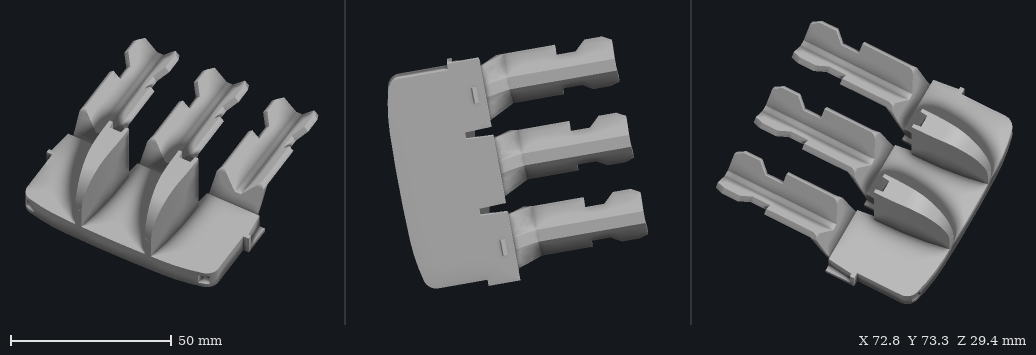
import cadquery as cq
import math


base_height = 6.4
base_half_width = 34.4
flange_half_width = 72.8 / 2
flange_front_y = 21.85
base_back_y = 31.9
bow_middle_half_width = 17.4
bow_middle_rise = 0.3
bow_end = (31.2, 2.3)
corner_end_y = 6.15

pitch = 25.0
prong_centers = [-pitch, 0, pitch]
wall_centers = [-pitch / 2, pitch / 2]
gap_centers = [-1.5 * pitch, *wall_centers, 1.5 * pitch]
gap_front_y = 23.3
gap_front_half_width = 2.05
gap_back_half_width = 3.1
slot_front_half_width = 1.1
slot_back_half_width = 1.5
lip_height = 1.5

wall_top = 28.7
wall_back_y = 25.8
wall_half_width = 3.5
wall_front_half_width = 1.1
wall_round = 15.2

prong_tip_y = 73.3
prong_root_y = 39.3
sheet = 2.05
floor_top = 8.95
floor_half_width = 1.1
leg_end_x = 6.7
notch_depth = 3.7
notch_front_y = 55.5
notch_back_y = 61.6
notch_ramp_y = 64.8
tip_chamfer_along_leg = 1.75
tip_chamfer_along_y = 2.85

leg_offset = sheet / math.sqrt(2)
floor_bottom = floor_top - sheet
under_half_width = floor_half_width + sheet * math.tan(math.radians(22.5))
leg_end_z = floor_top + leg_end_x - floor_half_width
prong_half_width = leg_end_x + leg_offset
leg_side_z = leg_end_z - leg_offset

neck_half_width = 9.45
neck_bottom = 2.3
neck_top = 4.4
neck_crest_y = 39.1
neck_crest_radius = 2.4
neck_slope_angle = math.radians(63)
neck_slope_end_y = 33.5

neck_slope_start_y = neck_crest_y - neck_crest_radius * math.sin(neck_slope_angle)
neck_slope_start_z = leg_end_z - neck_crest_radius * (1 - math.cos(neck_slope_angle))
neck_slope_end_z = neck_slope_start_z - (neck_slope_start_y - neck_slope_end_y) * math.tan(neck_slope_angle)

pocket_bottom = 1.5
pocket_top = 4.9
pocket_outer_x = 32.9
pocket_inner_front_x = 29.3
pocket_inner_back_x = 30.2
pocket_back_y = 5.1

ridge_width = 5.05
ridge_depth = 0.65
ridge_front_y = 27.8
ridge_apex_y = 28.2
ridge_back_y = 29.6


def base_blank(height):
    """Base plan, bowed at the front and flanged at the sides, raised to a height."""
    bow_radius = (bow_middle_half_width**2 + bow_middle_rise**2) / (2 * bow_middle_rise)
    half = (
        cq.Workplane("XY")
        .radiusArc((bow_middle_half_width, bow_middle_rise), -bow_radius)
        .tangentArcPoint(bow_end, relative=False)
        .tangentArcPoint((base_half_width, corner_end_y), relative=False)
        .lineTo(base_half_width, flange_front_y)
        .lineTo(flange_half_width, flange_front_y)
        .lineTo(flange_half_width, base_back_y)
        .lineTo(0, base_back_y)
        .close()
        .extrude(height)
    )
    return half.union(half.mirror("YZ"))


def gap_cutter(center_x, front_half_width, back_half_width, bottom):
    """Tapered gap open at the back of the base, cut upward from a level."""
    return (
        cq.Workplane("XY", origin=(center_x, 0, bottom))
        .moveTo(-front_half_width, gap_front_y)
        .lineTo(front_half_width, gap_front_y)
        .lineTo(back_half_width, base_back_y)
        .lineTo(-back_half_width, base_back_y)
        .close()
        .extrude(wall_top)
    )


def divider_wall(center_x):
    """Upright wall, narrowing in plan toward the front and rounded at the top front."""
    taper = wall_half_width - wall_front_half_width
    taper_radius = (gap_front_y**2 + taper**2) / (2 * taper)
    plan = (
        cq.Workplane("XY", origin=(center_x, 0, 0))
        .moveTo(-wall_front_half_width, 0)
        .lineTo(wall_front_half_width, 0)
        .radiusArc((wall_half_width, gap_front_y), -taper_radius)
        .lineTo(wall_half_width, wall_back_y)
        .lineTo(-wall_half_width, wall_back_y)
        .lineTo(-wall_half_width, gap_front_y)
        .radiusArc((-wall_front_half_width, 0), -taper_radius)
        .close()
        .extrude(wall_top)
    )
    outer_front_x = abs(center_x) + wall_front_half_width
    front_y = bow_middle_rise * (outer_front_x / bow_middle_half_width) ** 2
    side = (
        cq.Workplane("YZ", origin=(center_x - pitch / 2, 0, 0))
        .lineTo(wall_back_y, 0)
        .lineTo(wall_back_y, wall_top)
        .lineTo(front_y + wall_round, wall_top)
        .radiusArc((front_y, wall_top - wall_round), -wall_round)
        .lineTo(0, wall_top - wall_round)
        .close()
        .extrude(pitch)
    )
    return plan.intersect(side).intersect(base_blank(wall_top))


def leg_edge_cutter():
    """Waist notch and tip chamfer of the right leg, cut square to its sheet."""
    leg_plane = cq.Plane(origin=(leg_end_x, 0, leg_end_z), xDir=(1, 0, 1), normal=(-1, 0, 1))
    notch = [
        (sheet, notch_front_y),
        (-notch_depth, notch_front_y),
        (-notch_depth, notch_back_y),
        (0, notch_ramp_y),
        (sheet, notch_ramp_y),
    ]
    chamfer = [
        (0, prong_tip_y - tip_chamfer_along_y),
        (0, prong_tip_y),
        (-tip_chamfer_along_leg, prong_tip_y),
    ]
    outlines = cq.Workplane(leg_plane).polyline(notch).close().polyline(chamfer).close()
    return outlines.extrude(2 * sheet, both=True)


def ungrooved_neck():
    """Neck flaring from the prong underside to the base, with an S-curved top."""
    root = [
        (-under_half_width, floor_bottom),
        (under_half_width, floor_bottom),
        (prong_half_width, leg_side_z),
        (prong_half_width, leg_end_z),
        (-prong_half_width, leg_end_z),
        (-prong_half_width, leg_side_z),
    ]
    base_end = [
        (-under_half_width, neck_bottom),
        (under_half_width, neck_bottom),
        (neck_half_width, neck_bottom),
        (neck_half_width, leg_end_z),
        (-neck_half_width, leg_end_z),
        (-neck_half_width, neck_bottom),
    ]
    flare = (
        cq.Workplane("XZ", origin=(0, prong_root_y, 0))
        .polyline(root)
        .close()
        .workplane(offset=prong_root_y - base_back_y)
        .polyline(base_end)
        .close()
        .loft(ruled=True)
    )
    side = (
        cq.Workplane("YZ", origin=(-pitch / 2, 0, 0))
        .moveTo(base_back_y, 0)
        .lineTo(prong_root_y, 0)
        .lineTo(prong_root_y, leg_end_z)
        .lineTo(neck_crest_y, leg_end_z)
        .tangentArcPoint((neck_slope_start_y, neck_slope_start_z), relative=False)
        .lineTo(neck_slope_end_y, neck_slope_end_z)
        .tangentArcPoint((base_back_y, neck_top), relative=False)
        .close()
        .extrude(pitch)
    )
    roof_half_width = leg_end_x + leg_end_z
    leg_end_roof = (
        cq.Workplane("XZ", origin=(0, prong_root_y, 0))
        .moveTo(-leg_end_x, leg_end_z)
        .lineTo(leg_end_x, leg_end_z)
        .lineTo(roof_half_width, 0)
        .lineTo(-roof_half_width, 0)
        .close()
        .extrude(prong_root_y - base_back_y)
    )
    return flare.intersect(side).intersect(leg_end_roof)


def prong():
    """One centred prong with its neck, grooved from above into a V-shaped sheet."""
    bar = (
        cq.Workplane("XZ", origin=(0, prong_tip_y, 0))
        .moveTo(-under_half_width, floor_bottom)
        .lineTo(under_half_width, floor_bottom)
        .lineTo(prong_half_width, leg_side_z)
        .lineTo(leg_end_x, leg_end_z)
        .lineTo(-leg_end_x, leg_end_z)
        .lineTo(-prong_half_width, leg_side_z)
        .close()
        .extrude(prong_tip_y - prong_root_y)
    )
    groove = (
        cq.Workplane("XZ", origin=(0, prong_tip_y, 0))
        .moveTo(-floor_half_width, floor_top)
        .lineTo(floor_half_width, floor_top)
        .lineTo(leg_end_x, leg_end_z)
        .lineTo(-leg_end_x, leg_end_z)
        .close()
        .extrude(prong_tip_y - base_back_y)
    )
    edge_cutter = leg_edge_cutter()
    grooved = bar.union(ungrooved_neck()).cut(groove)
    return grooved.cut(edge_cutter).cut(edge_cutter.mirror("YZ"))


def corner_pocket():
    """Blind pocket entering the right front corner, its inner side slanting outward."""
    return (
        cq.Workplane("XY", origin=(0, 0, pocket_bottom))
        .moveTo(pocket_inner_front_x, 0)
        .lineTo(pocket_outer_x, 0)
        .lineTo(pocket_outer_x, pocket_back_y)
        .lineTo(pocket_inner_back_x, pocket_back_y)
        .close()
        .extrude(pocket_top - pocket_bottom)
    )


def latch_ridge(center_x):
    """Triangular ridge across the underside of the base."""
    return (
        cq.Workplane("YZ", origin=(center_x - ridge_width / 2, 0, 0))
        .moveTo(ridge_front_y, 0)
        .lineTo(ridge_apex_y, -ridge_depth)
        .lineTo(ridge_back_y, 0)
        .close()
        .extrude(ridge_width)
    )


body = base_blank(base_height)
for center_x in wall_centers:
    body = body.union(divider_wall(center_x))
for center_x in gap_centers:
    body = body.cut(gap_cutter(center_x, gap_front_half_width, gap_back_half_width, lip_height))
for center_x in wall_centers:
    body = body.cut(gap_cutter(center_x, slot_front_half_width, slot_back_half_width, 0))

pocket = corner_pocket()
body = body.cut(pocket).cut(pocket.mirror("YZ"))

row_width = 2 * (pitch + prong_half_width)
row_limit = cq.Workplane("XY").box(row_width, prong_tip_y, wall_top, centered=(True, False, False))
centered_prong = prong()
for center_x in prong_centers:
    body = body.union(centered_prong.translate((center_x, 0, 0)).intersect(row_limit))

for center_x in (prong_centers[0], prong_centers[-1]):
    body = body.union(latch_ridge(center_x))

result = body